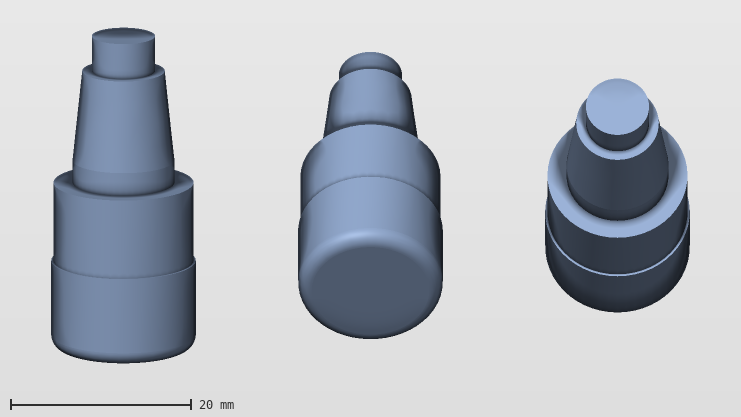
import cadquery as cq

total_height = 35.7
cap_radius = 8.0
cap_height = 10.0
cap_edge_radius = 1.5
collar_radius = 7.75
collar_top = 18.92
neck_radius = 5.65
neck_top = 21.5
taper_tip_radius = 4.57
taper_top = 31.7
stub_radius = 3.5


def make_cap():
    """Round end cap with a rounded bottom edge."""
    cap = cq.Workplane("XY").circle(cap_radius).extrude(cap_height)
    return cap.faces("<Z").edges().fillet(cap_edge_radius)


def make_stepped_body():
    """Collar on the cap, then a straight neck, a tapered sleeve and an end stub."""
    half_profile = [
        (0, cap_height),
        (collar_radius, cap_height),
        (collar_radius, collar_top),
        (neck_radius, collar_top),
        (neck_radius, neck_top),
        (taper_tip_radius, taper_top),
        (stub_radius, taper_top),
        (stub_radius, total_height),
        (0, total_height),
    ]
    return cq.Workplane("XZ").polyline(half_profile).close().revolve(360, (0, 0, 0), (0, 1, 0))


cap = make_cap()
stepped_body = make_stepped_body()

result = cq.Compound.makeCompound([cap.val(), stepped_body.val()])